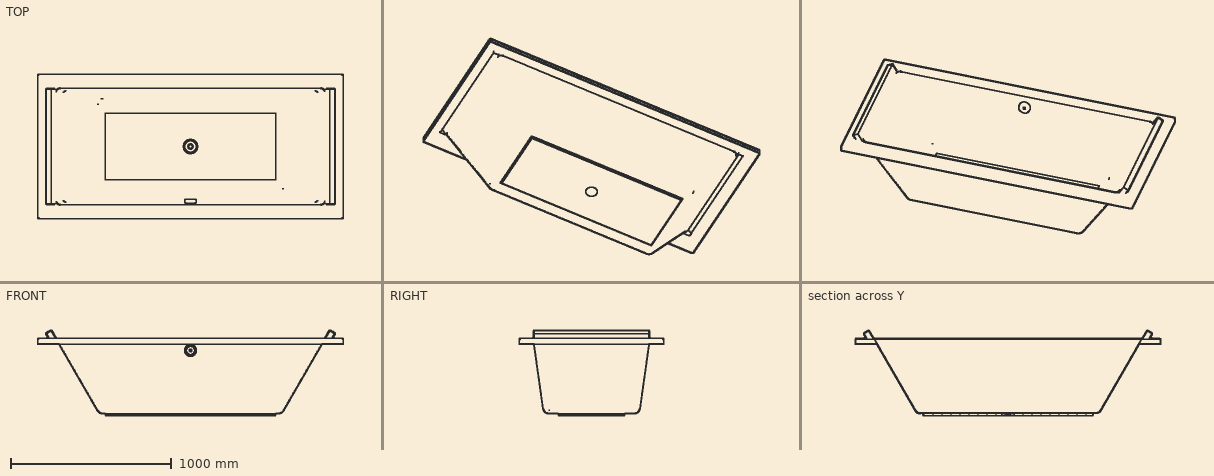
import cadquery as cq
import math

TOTAL_HEIGHT = 532.07

LENGTH = 1900.0
WIDTH = 900.0
RIM_TOP = 482.0
RIM_DEPTH = 36.0
RIM_ROUND = 10.0

BOARD_LENGTH = 1060.0
BOARD_WIDTH = 414.0
BOARD_THICKNESS = 13.0
BOARD_CHAMFER = 6.0

WALL = 5.0
FLOOR_HALF_LENGTH = 565.0
FLOOR_HALF_WIDTH = 293.5
END_LEAN = math.radians(30.0)
SIDE_LEAN = math.radians(8.0)
FLOOR_ROUND = 35.0
FLOOR_CORNER_ROUND = 38.0
RIM_CORNER_ROUND = 20.0
OPENING_ROUND = 6.0

HEADREST_LENGTH = 722.0
HEADREST_THICKNESS = 44.0
HEADREST_ROUND = 8.0
HEADREST_ROOT_ROUND = 8.0

DRAIN_SEAT_DIAMETER = 88.0
DRAIN_SEAT_DEPTH = 3.0
DRAIN_DIAMETER = 72.0
DRAIN_RECESS_DIAMETER = 32.0
DRAIN_RECESS_DEPTH = 2.0
DRAIN_WELL_DIAMETER = 24.0
DRAIN_WELL_DEPTH = 6.0

OVERFLOW_HEIGHT = 406.0
OVERFLOW_DIAMETER = 72.0
OVERFLOW_FACE_Y = -329.0
OVERFLOW_EDGE_ROUND = 5.0
OVERFLOW_HOLE_DIAMETER = 52.0
OVERFLOW_DISH_BASE_DIAMETER = 14.5
OVERFLOW_DISH_START = 6.0
OVERFLOW_DISH_DEPTH = 8.0
OVERFLOW_DISH_RUNOUT = 10.0

FLOOR_TOP = BOARD_THICKNESS + WALL
BASIN_DEPTH = RIM_TOP - FLOOR_TOP
RIM_BOTTOM = RIM_TOP - RIM_DEPTH
END_SLOPE = math.tan(END_LEAN)
SIDE_SLOPE = math.tan(SIDE_LEAN)
OPENING_HALF_LENGTH = FLOOR_HALF_LENGTH + BASIN_DEPTH * END_SLOPE
OPENING_HALF_WIDTH = FLOOR_HALF_WIDTH + BASIN_DEPTH * SIDE_SLOPE
CORNER_TAPER = (FLOOR_CORNER_ROUND - RIM_CORNER_ROUND) / BASIN_DEPTH

HEADREST_ROUNDING_LOSS = HEADREST_ROUND * (math.cos(END_LEAN) + math.sin(END_LEAN) - 1)
HEADREST_RISE = (TOTAL_HEIGHT - RIM_TOP + HEADREST_ROUNDING_LOSS) / math.cos(END_LEAN)


def plate(length, width, bottom, thickness):
    """Rectangular plate centred on the Z axis."""
    plane = cq.Workplane("XY").workplane(offset=bottom)
    return plane.box(length, width, thickness, centered=(True, True, False))


def upright_cylinder(diameter, bottom, height):
    return cq.Workplane("XY").workplane(offset=bottom).circle(diameter / 2).extrude(height)




def rounded_rectangle(half_length, half_width, corner, level):
    """Four straight edges and four corner arcs at a height, in order around the outline."""
    straights = []
    arcs = []
    for quarter in range(4):
        along, across = (half_length, half_width) if quarter % 2 else (half_width, half_length)
        turn = cq.Location(cq.Vector(0, 0, level), cq.Vector(0, 0, 1), 90 * quarter)
        side_start = cq.Vector(across, -along + corner, 0)
        side_end = cq.Vector(across, along - corner, 0)
        diagonal = corner * (1 - math.sqrt(0.5))
        arc_middle = cq.Vector(across - diagonal, along - diagonal, 0)
        arc_end = cq.Vector(across - corner, along, 0)
        straights.append(cq.Edge.makeLine(side_start, side_end).moved(turn))
        arcs.append(cq.Edge.makeThreePointArc(side_end, arc_middle, arc_end).moved(turn))
    return straights, arcs


def basin_block(offset, top):
    """Filled basin up to the height top, its walls and floor moved outward by offset."""
    bottom = FLOOR_TOP - offset
    height = top - bottom
    half_length = FLOOR_HALF_LENGTH + offset / math.cos(END_LEAN) - offset * END_SLOPE
    half_width = FLOOR_HALF_WIDTH + offset / math.cos(SIDE_LEAN) - offset * SIDE_SLOPE
    corner = FLOOR_CORNER_ROUND + offset

    low_sides, low_arcs = rounded_rectangle(half_length, half_width, corner, bottom)
    top_sides, top_arcs = rounded_rectangle(
        half_length + height * END_SLOPE,
        half_width + height * SIDE_SLOPE,
        corner - height * CORNER_TAPER,
        top,
    )

    faces = [cq.Face.makeRuledSurface(low, high) for low, high in zip(low_arcs, top_arcs)]
    for low, high in zip(low_sides, top_sides):
        corners = [low.startPoint(), low.endPoint(), high.endPoint(), high.startPoint()]
        faces.append(cq.Face.makeFromWires(cq.Wire.makePolygon(corners, close=True)))
    for sides, arcs in ((low_sides, low_arcs), (top_sides, top_arcs)):
        faces.append(cq.Face.makeFromWires(cq.Wire.assembleEdges(sum(zip(sides, arcs), ()))))

    block = cq.Workplane(cq.Solid.makeSolid(cq.Shell.makeShell(faces)))
    return block.faces("<Z").edges().fillet(FLOOR_ROUND + offset)


def rim_plate(inset):
    """Rim with its top and sides moved inward by inset."""
    body = plate(LENGTH - 2 * inset, WIDTH - 2 * inset, RIM_BOTTOM, RIM_DEPTH - inset)
    return body.edges("|Z or >Z").fillet(RIM_ROUND - inset)


def headrest_bars(inset, rounding, bottom):
    """Leaning bars at both ends above the height bottom, every face moved inward by inset."""
    half_length = HEADREST_LENGTH / 2 - inset
    leaning_plane = cq.Plane(
        origin=(-OPENING_HALF_LENGTH, -half_length, RIM_TOP),
        xDir=(-math.cos(END_LEAN), 0, -math.sin(END_LEAN)),
        normal=(0, 1, 0),
    )
    thickness = HEADREST_THICKNESS - 2 * inset
    buried = 2 * HEADREST_THICKNESS
    bar = (
        cq.Workplane(leaning_plane)
        .moveTo(inset, -buried)
        .rect(thickness, buried + HEADREST_RISE - inset, centered=False)
        .extrude(2 * half_length)
    )
    if rounding > 0:
        bar = bar.edges().fillet(rounding)
    bar = bar.intersect(plate(LENGTH, WIDTH, bottom, TOTAL_HEIGHT))
    return bar.union(bar.mirror("YZ"))


def round_headrest_roots(body):
    """Blend the headrests into the flat top of the rim."""
    half_length = LENGTH / 2 - 2 * RIM_ROUND
    half_width = WIDTH / 2 - 2 * RIM_ROUND
    level_band = 0.01
    roots = cq.selectors.BoxSelector(
        (-half_length, -half_width, RIM_TOP - level_band),
        (half_length, half_width, RIM_TOP + level_band),
        boundingbox=True,
    )
    return body.edges(roots).fillet(HEADREST_ROOT_ROUND)


def rounded_mouth():
    """Tool that rounds the straight long edges of the opening."""
    tangent = OPENING_ROUND / math.tan((math.pi / 2 + SIDE_LEAN) / 2)
    top_half = OPENING_HALF_WIDTH + tangent
    low_half = OPENING_HALF_WIDTH - tangent * math.sin(SIDE_LEAN)
    low = RIM_TOP - tangent * math.cos(SIDE_LEAN)
    return (
        cq.Workplane("YZ")
        .moveTo(-low_half, low)
        .lineTo(low_half, low)
        .radiusArc((top_half, RIM_TOP), OPENING_ROUND)
        .lineTo(-top_half, RIM_TOP)
        .radiusArc((-low_half, low), OPENING_ROUND)
        .close()
        .extrude(OPENING_HALF_LENGTH - RIM_CORNER_ROUND, both=True)
    )


def drain_seat():
    """Conical recess in the floor around the drain."""
    return (
        cq.Workplane("XY")
        .workplane(offset=FLOOR_TOP - DRAIN_SEAT_DEPTH)
        .circle(DRAIN_DIAMETER / 2)
        .workplane(offset=DRAIN_SEAT_DEPTH)
        .circle(DRAIN_SEAT_DIAMETER / 2)
        .loft()
    )


def make_tub():
    outer_basin = basin_block(WALL, RIM_TOP)
    tub = rim_plate(0).union(headrest_bars(0, HEADREST_ROUND, RIM_TOP - 2 * WALL))
    tub = round_headrest_roots(tub)
    tub = tub.union(outer_basin)

    tub = tub.cut(basin_block(0, TOTAL_HEIGHT)).cut(rounded_mouth())

    tub = tub.cut(rim_plate(WALL).cut(outer_basin))
    tub = tub.cut(headrest_bars(WALL, 0, RIM_TOP - 2 * WALL))

    tub = tub.cut(drain_seat()).cut(drain_plug())
    return tub.cut(overflow_cylinder(OVERFLOW_HOLE_DIAMETER))




def make_board():
    board = plate(BOARD_LENGTH, BOARD_WIDTH, 0, BOARD_THICKNESS)
    board = board.faces("<Z").chamfer(BOARD_CHAMFER)
    return board.cut(drain_plug())




def drain_plug():
    """Cylinder filling the drain hole through the floor and the board."""
    return upright_cylinder(DRAIN_DIAMETER, 0, FLOOR_TOP - DRAIN_SEAT_DEPTH)


def make_drain():
    top = FLOOR_TOP - DRAIN_SEAT_DEPTH
    recess = upright_cylinder(DRAIN_RECESS_DIAMETER, top - DRAIN_RECESS_DEPTH, DRAIN_RECESS_DEPTH)
    well = upright_cylinder(DRAIN_WELL_DIAMETER, top - DRAIN_WELL_DEPTH, DRAIN_WELL_DEPTH)
    return drain_plug().cut(recess).cut(well)




def overflow_plane(y):
    """Plane across the overflow axis, facing out of the tub."""
    return cq.Plane(origin=(0, y, OVERFLOW_HEIGHT), xDir=(1, 0, 0), normal=(0, -1, 0))


def overflow_cylinder(diameter):
    """Cylinder from the overflow's face out through the side wall."""
    reach = WIDTH / 2 + OVERFLOW_FACE_Y
    return cq.Workplane(overflow_plane(OVERFLOW_FACE_Y)).circle(diameter / 2).extrude(reach)


def make_overflow():
    disc = overflow_cylinder(OVERFLOW_DIAMETER)
    disc = disc.faces(">Y").edges().fillet(OVERFLOW_EDGE_ROUND)
    disc = disc.intersect(basin_block(0, RIM_TOP))

    dish_base_y = OVERFLOW_FACE_Y - OVERFLOW_DISH_START
    dish = (
        cq.Workplane(overflow_plane(dish_base_y))
        .circle(OVERFLOW_DISH_BASE_DIAMETER / 2)
        .workplane(offset=OVERFLOW_DISH_DEPTH)
        .circle(OVERFLOW_HOLE_DIAMETER / 2)
        .loft()
        .faces("<Y")
        .workplane()
        .circle(OVERFLOW_HOLE_DIAMETER / 2)
        .extrude(OVERFLOW_DISH_RUNOUT)
    )
    return disc.cut(dish)


tub = make_tub()
board = make_board()
drain = make_drain()
overflow = make_overflow()

result = cq.Compound.makeCompound([tub.val(), board.val(), drain.val(), overflow.val()])